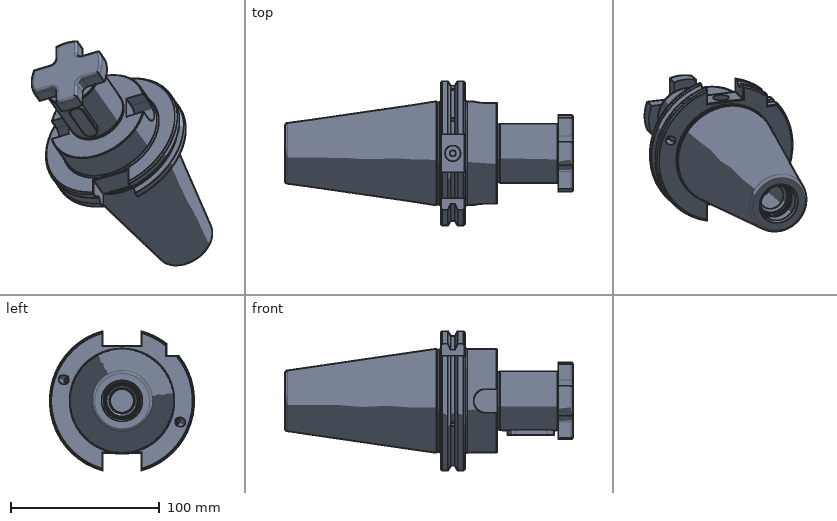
import cadquery as cq
import math

TAPER_END_X = 101.7
NECK_X = 102.3
FLANGE_X = 104.6
FLANGE_WIDTH = 16.5
SHOULDER_X = 142.6
SHANK_END_X = 183.7
TOTAL_LENGTH = 193.8

TAPER_RATE = 7 / 24
GAUGE_RADIUS = 35.0
TAPER_TIP_RADIUS = GAUGE_RADIUS - TAPER_END_X * TAPER_RATE / 2
TIP_FILLET = 2.0
NECK_RADIUS = 34.5
NECK_FLARE = 0.8

FLANGE_RADIUS = 48.6
FLANGE_CHAMFER = 1.2
FLANGE_MID_X = FLANGE_X + FLANGE_WIDTH / 2
GROOVE_TOP_WIDTH = 6.5
GROOVE_FLOOR_WIDTH = 2.7
GROOVE_FLOOR_RADIUS = 45.5

SLOT_WIDTH = 25.5
UPPER_SLOT_FLOOR = 37.2
LOWER_SLOT_FLOOR = 35.3
NOTCH_SIDE_Y = -30.0
NOTCH_FLOOR_Z = 30.5
RECESS_CHAMFER = 0.5

CHIP_DIAMETER = 10.5
CHIP_DEPTH = 3.9
CHIP_PILOT_DIAMETER = 4.0
CHIP_PILOT_DEPTH = 5.8

COOLANT_DIAMETER = 6.0
COOLANT_RADIUS = 41.7
COOLANT_ANGLE = 20
COOLANT_TILT = 30
COOLANT_DEPTH = 13.5
RADIAL_HOLE_DIAMETER = 3.0
RADIAL_HOLE_DEPTH = 7.8
SINGLE_HOLE_ANGLE = 60

COLLAR_RADIUS = 34.9
COLLAR_FLARE = 0.8
COLLAR_FLARE_LENGTH = 1.5
COLLAR_CHAMFER = 0.4
DRIVE_SLOT_WIDTH = 15.9
DRIVE_SLOT_LENGTH = 15.7
DRIVE_SLOT_FLOOR_Y = 21.3

SHANK_RADIUS = 20.0
UNDERCUT_RADIUS = 19.5
UNDERCUT_WIDTH = 1.5
UNDERCUT_FLARE = 0.5
SHANK_CHAMFER = 0.5

MOUTH_RADIUS = 13.8
PILOT_BORE_RADIUS = 12.4
PILOT_BORE_DEPTH = 8.5
THREAD_MOUTH_RADIUS = 11.5
THREAD_RADIUS = 10.5
THREAD_DEPTH = 12.4
INNER_BORE_RADIUS = 8.5
INNER_BORE_DEPTH = 38.8
BORE_END_RADIUS = 8.0

KEY_X = 149.4
KEY_LENGTH = 31.5
KEY_WIDTH = 10.0
KEY_HEIGHT = 8.0
KEY_BOTTOM_Z = -23.2
KEY_CHAMFER = 0.5

HEAD_RADIUS = 26.0
Y_ARM_WIDTH = 20.2
Z_ARM_WIDTH = 15.7
ARM_ROOT_FILLET = 4.0
HEAD_EDGE_FILLET = 1.7


def revolve_about_x(profile):
    return profile.close().revolve(360, (0, 0, 0), (1, 0, 0))


def cylinder(diameter, depth, mouth, direction):
    return cq.Workplane(cq.Solid.makeCylinder(
        diameter / 2, depth, mouth, direction))


def make_taper():
    taper = revolve_about_x(
        cq.Workplane("XZ")
        .lineTo(0, TAPER_TIP_RADIUS)
        .lineTo(TAPER_END_X, GAUGE_RADIUS)
        .lineTo(NECK_X, NECK_RADIUS)
        .lineTo(FLANGE_X - NECK_FLARE, NECK_RADIUS)
        .lineTo(FLANGE_X, NECK_RADIUS + NECK_FLARE)
        .lineTo(FLANGE_X, 0)
    )
    return taper.faces("<X").edges().fillet(TIP_FILLET)


def make_flange():
    end_x = FLANGE_X + FLANGE_WIDTH
    chamfer_radius = FLANGE_RADIUS - FLANGE_CHAMFER
    flange = revolve_about_x(
        cq.Workplane("XZ")
        .moveTo(FLANGE_X, 0)
        .lineTo(FLANGE_X, chamfer_radius)
        .lineTo(FLANGE_X + FLANGE_CHAMFER, FLANGE_RADIUS)
        .lineTo(FLANGE_MID_X - GROOVE_TOP_WIDTH / 2, FLANGE_RADIUS)
        .lineTo(FLANGE_MID_X - GROOVE_FLOOR_WIDTH / 2, GROOVE_FLOOR_RADIUS)
        .lineTo(FLANGE_MID_X + GROOVE_FLOOR_WIDTH / 2, GROOVE_FLOOR_RADIUS)
        .lineTo(FLANGE_MID_X + GROOVE_TOP_WIDTH / 2, FLANGE_RADIUS)
        .lineTo(end_x - FLANGE_CHAMFER, FLANGE_RADIUS)
        .lineTo(end_x, chamfer_radius)
        .lineTo(end_x, 0)
    )
    flange = cut_rim_recesses(flange)
    flange = cut_chip_recess(flange)
    return cut_flange_holes(flange)


def cut_rim_recesses(flange):
    slot_block = cq.Workplane("XY").box(
        FLANGE_WIDTH, SLOT_WIDTH, FLANGE_RADIUS, centered=(False, True, False))
    upper_slot = slot_block.translate((FLANGE_X, 0, UPPER_SLOT_FLOOR))
    lower_slot = slot_block.translate((FLANGE_X, 0, -LOWER_SLOT_FLOOR - FLANGE_RADIUS))
    notch = (
        cq.Workplane("XY")
        .box(FLANGE_WIDTH, FLANGE_RADIUS, FLANGE_RADIUS, centered=False)
        .translate((FLANGE_X, NOTCH_SIDE_Y - FLANGE_RADIUS, NOTCH_FLOOR_Z))
    )
    flange = flange.cut(upper_slot).cut(lower_slot).cut(notch)
    return flange.faces("<X or >X").edges("%LINE").chamfer(RECESS_CHAMFER)


def cut_chip_recess(flange):
    mouth = cq.Vector(FLANGE_MID_X, 0, UPPER_SLOT_FLOOR)
    inward = cq.Vector(0, 0, -1)
    recess = cylinder(CHIP_DIAMETER, CHIP_DEPTH, mouth, inward)
    pilot = cylinder(CHIP_PILOT_DIAMETER, CHIP_PILOT_DEPTH, mouth, inward)
    return flange.cut(recess).cut(pilot)


def radial_direction(angle):
    turn = math.radians(angle)
    return cq.Vector(0, math.cos(turn), math.sin(turn))


def cut_flange_holes(flange):
    opposite_angles = (COOLANT_ANGLE, COOLANT_ANGLE + 180)
    axial = cq.Vector(1, 0, 0)
    tilt = math.radians(COOLANT_TILT)
    for angle in opposite_angles:
        outward = radial_direction(angle)
        mouth = axial * FLANGE_X + outward * COOLANT_RADIUS
        direction = axial * math.cos(tilt) - outward * math.sin(tilt)
        lead = COOLANT_DIAMETER
        start = mouth - direction * lead
        flange = flange.cut(cylinder(COOLANT_DIAMETER, lead + COOLANT_DEPTH, start, direction))

    radial_depth = FLANGE_RADIUS - GROOVE_FLOOR_RADIUS + RADIAL_HOLE_DEPTH
    for angle in (*opposite_angles, SINGLE_HOLE_ANGLE):
        outward = radial_direction(angle)
        start = axial * FLANGE_MID_X + outward * FLANGE_RADIUS
        flange = flange.cut(cylinder(RADIAL_HOLE_DIAMETER, radial_depth, start, -outward))
    return flange


def make_collar():
    start_x = FLANGE_X + FLANGE_WIDTH
    collar = revolve_about_x(
        cq.Workplane("XZ")
        .moveTo(start_x, 0)
        .lineTo(start_x, COLLAR_RADIUS + COLLAR_FLARE)
        .lineTo(start_x + COLLAR_FLARE_LENGTH, COLLAR_RADIUS)
        .lineTo(SHOULDER_X - COLLAR_CHAMFER, COLLAR_RADIUS)
        .lineTo(SHOULDER_X, COLLAR_RADIUS - COLLAR_CHAMFER)
        .lineTo(SHOULDER_X, 0)
    )
    slot_radius = DRIVE_SLOT_WIDTH / 2
    arc_x = SHOULDER_X - DRIVE_SLOT_LENGTH + slot_radius
    slot = (
        cq.Workplane("XZ", origin=(0, -DRIVE_SLOT_FLOOR_Y, 0))
        .moveTo(SHOULDER_X, slot_radius)
        .lineTo(arc_x, slot_radius)
        .threePointArc((arc_x - slot_radius, 0), (arc_x, -slot_radius))
        .lineTo(SHOULDER_X, -slot_radius)
        .close()
        .extrude(COLLAR_RADIUS)
    )
    return collar.cut(slot).cut(slot.mirror("XZ"))


def make_shank():
    undercut_end_x = SHOULDER_X + UNDERCUT_WIDTH
    return revolve_about_x(
        cq.Workplane("XZ")
        .moveTo(SHOULDER_X, 0)
        .lineTo(SHOULDER_X, UNDERCUT_RADIUS)
        .lineTo(undercut_end_x, UNDERCUT_RADIUS)
        .lineTo(undercut_end_x + UNDERCUT_FLARE, SHANK_RADIUS)
        .lineTo(SHANK_END_X - SHANK_CHAMFER, SHANK_RADIUS)
        .lineTo(SHANK_END_X, SHANK_RADIUS - SHANK_CHAMFER)
        .lineTo(SHANK_END_X, 0)
    )


def make_bore():
    end_depth = INNER_BORE_DEPTH + INNER_BORE_RADIUS - BORE_END_RADIUS
    return revolve_about_x(
        cq.Workplane("XZ")
        .lineTo(0, MOUTH_RADIUS)
        .lineTo(MOUTH_RADIUS - PILOT_BORE_RADIUS, PILOT_BORE_RADIUS)
        .lineTo(PILOT_BORE_DEPTH, PILOT_BORE_RADIUS)
        .lineTo(PILOT_BORE_DEPTH, THREAD_MOUTH_RADIUS)
        .lineTo(PILOT_BORE_DEPTH + THREAD_MOUTH_RADIUS - THREAD_RADIUS, THREAD_RADIUS)
        .lineTo(THREAD_DEPTH, THREAD_RADIUS)
        .lineTo(THREAD_DEPTH + THREAD_RADIUS - INNER_BORE_RADIUS, INNER_BORE_RADIUS)
        .lineTo(INNER_BORE_DEPTH, INNER_BORE_RADIUS)
        .lineTo(end_depth, BORE_END_RADIUS)
        .lineTo(end_depth, 0)
    )


def make_key():
    key = (
        cq.Workplane("XY", origin=(KEY_X + KEY_LENGTH / 2, 0, KEY_BOTTOM_Z))
        .slot2D(KEY_LENGTH, KEY_WIDTH)
        .extrude(KEY_HEIGHT)
    )
    return key.faces("<Z").edges().chamfer(KEY_CHAMFER)


def make_head():
    length = TOTAL_LENGTH - SHANK_END_X
    plane = cq.Workplane("YZ", origin=(SHANK_END_X, 0, 0))
    disc = plane.circle(HEAD_RADIUS).extrude(length)
    y_arms = plane.rect(2 * HEAD_RADIUS, Y_ARM_WIDTH).extrude(length)
    z_arms = plane.rect(Z_ARM_WIDTH, 2 * HEAD_RADIUS).extrude(length)
    cross = y_arms.union(z_arms)
    inner_corners = cq.selectors.BoxSelector(
        (SHANK_END_X, -Y_ARM_WIDTH, -Y_ARM_WIDTH), (TOTAL_LENGTH, Y_ARM_WIDTH, Y_ARM_WIDTH))
    cross = cross.edges("|X").edges(inner_corners).fillet(ARM_ROOT_FILLET)
    return cross.intersect(disc).faces(">X").edges().fillet(HEAD_EDGE_FILLET)


key = make_key()
clamping_head = make_head()
holder = (
    make_taper()
    .union(make_flange())
    .union(make_collar())
    .union(make_shank())
    .cut(make_bore())
    .cut(key)
)

result = cq.Compound.makeCompound([holder.val(), key.val(), clamping_head.val()])